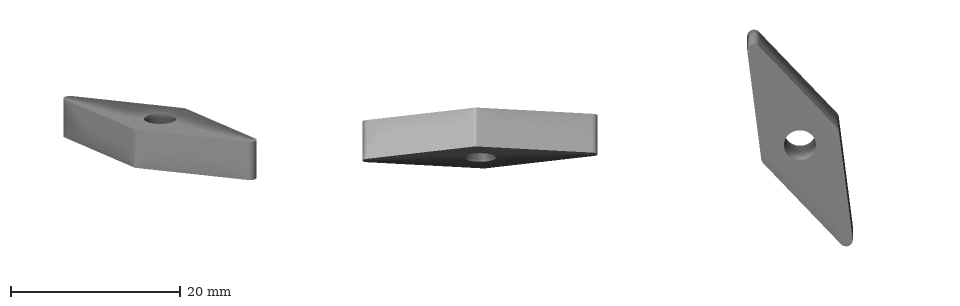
import cadquery as cq
import math

length = 26.75
width = 9.53
thickness = 4.75
hole_diameter = 3.8
acute_angle = math.radians(35.0)

side = width / math.sin(acute_angle)
sharp_length = side * (1 + math.cos(acute_angle))
tip_x = sharp_length / 2
blunt_x = side - tip_x
half_width = width / 2

tip_shortening = (sharp_length - length) / 2
corner_radius = tip_shortening / (1 / math.tan(acute_angle / 2) - 1)

corners = [
    (-tip_x, -half_width),
    (blunt_x, -half_width),
    (tip_x, half_width),
    (-blunt_x, half_width),
]

body = cq.Workplane("XY").polyline(corners).close().extrude(thickness)
body = body.edges("|Z").fillet(corner_radius)

result = body.faces(">Z").workplane(origin=(0, 0, 0)).hole(hole_diameter)